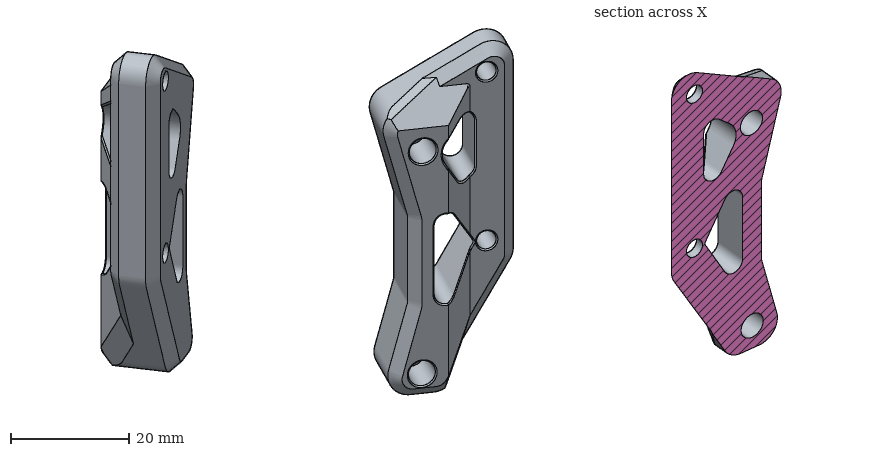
import cadquery as cq
import math

PLATE_THICKNESS = 8.76
PAD_HEIGHT = 5.0
THICKNESS = PLATE_THICKNESS + PAD_HEIGHT
PLATE_FACE_X = PAD_HEIGHT

WAIST_Y = 19.7
WAIST_BOTTOM_Z = 17.5
WAIST_TOP_Z = 33.65
FLARE_ANGLE = math.radians(15)
TOP_ANGLE = math.radians(27.5)
FOOT_ANGLE = math.radians(30.4)
FOOT_Y = 12.91
TOP_CORNER_Z = 65.1
CORNER_RADIUS = 4.0
WAIST_RADIUS = 2.0
EDGE_CHAMFER = 2.0

PAD_SIDE_Y = 13.05
PAD_TOP_Z = 50.9
PAD_CORNER_RADIUS = 0.6
TOP_BEVEL = 0.78
FOOT_BEVEL = EDGE_CHAMFER

SCREW_DIAMETER = 3.4
SCREW_CENTRES = [(5.15, 57.75), (5.15, 26.0)]
INSERT_DIAMETER = 4.7
INSERT_DEPTH = 8.0
INSERT_CENTRES = [(17.5, 46.5), (17.65, 4.7)]
LEAD_IN = 0.25

UPPER_WINDOW = [
    ((9.2, 48.7), 2.0),
    ((10.4, 45.5), 3.7),
    ((9.2, 40.3), 2.0),
]
LOWER_WINDOW = [
    ((13.5, 32.2), 2.0),
    ((13.5, 19.3), 2.0),
    ((7.95, 25.95), 0.5),
]

CUTTER_SIZE = 200.0
MATCH_TOLERANCE = 0.01


def outline_corners():
    """Sharp (Y, Z) corners of the outline, from the top of the -Y edge round to its foot."""
    flare = math.tan(FLARE_ANGLE)
    fall = math.tan(TOP_ANGLE)
    shoulder_y = (WAIST_Y + flare * (TOP_CORNER_Z - WAIST_TOP_Z)) / (1 + flare * fall)
    return [
        (0, TOP_CORNER_Z),
        (shoulder_y, TOP_CORNER_Z - fall * shoulder_y),
        (WAIST_Y, WAIST_TOP_Z),
        (WAIST_Y, WAIST_BOTTOM_Z),
        (WAIST_Y + flare * WAIST_BOTTOM_Z, 0),
        (FOOT_Y, 0),
        (0, FOOT_Y / math.tan(FOOT_ANGLE)),
    ]


def edges_at(solid, points):
    """Edges along X that stand on the given (Y, Z) points."""
    def stands_on_point(edge):
        centre = edge.Center()
        return any(math.hypot(centre.y - y, centre.z - z) < MATCH_TOLERANCE for y, z in points)

    return solid.newObject([e for e in solid.edges("|X").vals() if stands_on_point(e)])


def outline_body(start_x):
    """Rounded outline from start_x to the back face, chamfered on both faces."""
    corners = outline_corners()
    waist = corners[2:4]
    outer = corners[:2] + corners[4:]
    sketch = cq.Workplane("YZ", origin=(start_x, 0, 0)).polyline(corners).close()
    body = sketch.extrude(THICKNESS - start_x)
    body = edges_at(body, outer).fillet(CORNER_RADIUS)
    body = edges_at(body, waist).fillet(WAIST_RADIUS)
    return body.faces("<X or >X").edges().chamfer(EDGE_CHAMFER)


def half_space(point, normal):
    """Large block on the outer side of the plane through point."""
    plane = cq.Plane(origin=point.toTuple(), normal=normal.toTuple())
    return cq.Workplane(plane).rect(CUTTER_SIZE, CUTTER_SIZE).extrude(CUTTER_SIZE)


def edge_bevel(edge_point, slope_normal, wall_normal, width):
    """Cutter for a symmetric bevel where a slope meets an outline wall.

    width is how far the bevel reaches in from the wall, measured across the YZ plane.
    """
    turn = slope_normal.getAngle(wall_normal)
    setback = width / math.sin(turn)
    normal = (slope_normal + wall_normal).normalized()
    return half_space(edge_point - normal * (setback * math.sin(turn / 2)), normal)


def pad_corner_rounding():
    """Cutter that rounds the foot of the corner between the two slopes."""
    r = PAD_CORNER_RADIUS
    centre_y = PAD_SIDE_Y - PAD_HEIGHT + r
    centre_z = PAD_TOP_Z + PAD_HEIGHT - r
    block = cq.Workplane("XY").box(r, r, r, centered=False)
    block = block.translate((PLATE_FACE_X - r, centre_y - r, centre_z))
    cone = cq.Solid.makeCone(
        r, 0, r,
        pnt=cq.Vector(PLATE_FACE_X, centre_y, centre_z),
        dir=cq.Vector(-1, 0, 0),
    )
    return block.cut(cq.Workplane(cone))


def pad():
    """Full-depth body sloped down at its side and top, so it blends into the plate edges."""
    side_normal = cq.Vector(-1, -1, 0).normalized()
    top_normal = cq.Vector(-1, 0, 1).normalized()
    top_wall_normal = cq.Vector(0, math.sin(TOP_ANGLE), math.cos(TOP_ANGLE))
    foot_wall_normal = cq.Vector(0, -math.cos(FOOT_ANGLE), -math.sin(FOOT_ANGLE))
    top_edge_y = (TOP_CORNER_Z - PAD_TOP_Z) / math.tan(TOP_ANGLE)
    top_edge_point = cq.Vector(0, top_edge_y, PAD_TOP_Z)
    foot_edge_z = (FOOT_Y - PAD_SIDE_Y) / math.tan(FOOT_ANGLE)
    foot_edge_point = cq.Vector(0, PAD_SIDE_Y, foot_edge_z)

    body = outline_body(0)
    body = body.cut(half_space(cq.Vector(0, PAD_SIDE_Y, 0), side_normal))
    body = body.cut(half_space(cq.Vector(0, 0, PAD_TOP_Z), top_normal))
    body = body.cut(edge_bevel(top_edge_point, top_normal, top_wall_normal, TOP_BEVEL))
    body = body.cut(edge_bevel(foot_edge_point, side_normal, foot_wall_normal, FOOT_BEVEL))
    return body.cut(pad_corner_rounding())


def hole(centre, face_x, diameter, depth):
    """Round hole going in from face_x, with a lead-in cone at its mouth."""
    mouth_centre = cq.Vector(face_x, *centre)
    inward = cq.Vector(1, 0, 0)
    radius = diameter / 2
    bore = cq.Solid.makeCylinder(radius, depth, mouth_centre, inward)
    mouth = cq.Solid.makeCone(radius + LEAD_IN, radius, LEAD_IN, mouth_centre, inward)
    return cq.Workplane(bore).union(cq.Workplane(mouth))


def belt_side(start, end):
    """Tangent points of the straight side that leaves one corner circle for the next."""
    (y1, z1), r1 = start
    (y2, z2), r2 = end
    heading = math.atan2(z2 - z1, y2 - y1)
    outward = heading + math.acos((r1 - r2) / math.hypot(y2 - y1, z2 - z1))
    cos_out = math.cos(outward)
    sin_out = math.sin(outward)
    return (y1 + r1 * cos_out, z1 + r1 * sin_out), (y2 + r2 * cos_out, z2 + r2 * sin_out)


def window(circles):
    """Cutter through the full thickness, bounded by the belt around the circles."""
    sides = [belt_side(circles[i - 1], circles[i]) for i in range(len(circles))]
    outline = cq.Workplane("YZ").moveTo(*sides[0][0])
    for i, ((y, z), radius) in enumerate(circles):
        arrival = sides[i][1]
        departure = sides[(i + 1) % len(circles)][0]
        bulge_y = (arrival[0] + departure[0]) / 2 - y
        bulge_z = (arrival[1] + departure[1]) / 2 - z
        reach = radius / math.hypot(bulge_y, bulge_z)
        outline = outline.lineTo(*arrival)
        outline = outline.threePointArc((y + bulge_y * reach, z + bulge_z * reach), departure)
    return outline.close().extrude(THICKNESS)


def mouth_edges(body, cutter):
    """Edges where a window breaks through the pad, slope and plate faces on the -X side."""
    walls = cutter.faces("not (<X or >X)").vals()

    def on_mouth(edge):
        middle = edge.positionAt(0.5)
        vertex = cq.Vertex.makeVertex(*middle.toTuple())
        on_wall = min(wall.distance(vertex) for wall in walls) < MATCH_TOLERANCE
        on_front = middle.x < PLATE_FACE_X + MATCH_TOLERANCE
        travel = edge.endPoint() - edge.startPoint()
        is_seam = math.hypot(travel.y, travel.z) < MATCH_TOLERANCE
        return on_wall and on_front and not is_seam

    return body.newObject([edge for edge in body.edges().vals() if on_mouth(edge)])


result = outline_body(PLATE_FACE_X).union(pad())
for circles in (UPPER_WINDOW, LOWER_WINDOW):
    cutter = window(circles)
    result = result.cut(cutter)
    result = mouth_edges(result, cutter).chamfer(LEAD_IN)
for centre in SCREW_CENTRES:
    result = result.cut(hole(centre, PLATE_FACE_X, SCREW_DIAMETER, PLATE_THICKNESS))
for centre in INSERT_CENTRES:
    result = result.cut(hole(centre, 0, INSERT_DIAMETER, INSERT_DEPTH))